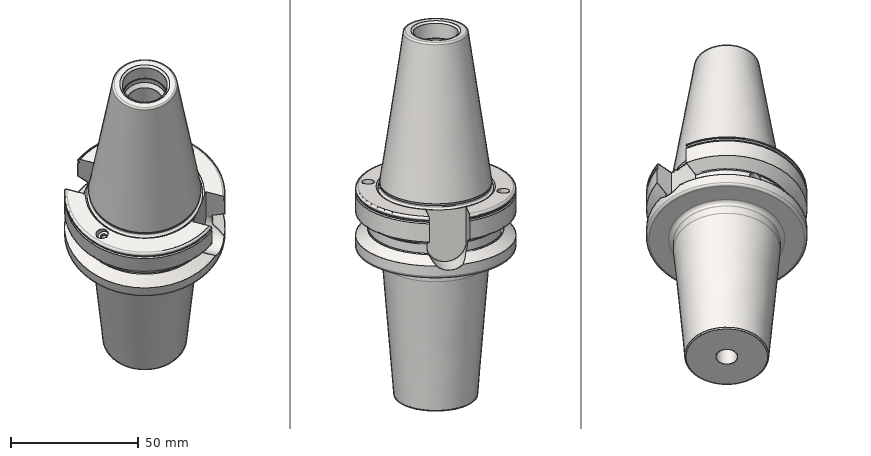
import math

import cadquery as cq

taper_length = 65.4
nose_length = 90.0

gauge_radius = 44.45 / 2
taper_slope = 7 / 48
taper_base_z = 0.9
taper_end_fillet = 0.8

neck_radius = 21.8
neck_top_z = 0.0
neck_fillet = 0.95
undercut_radius = 23.4
undercut_depth = 0.5

flange_radius = 63.0 / 2
flange_top_z = -1.0
flange_bottom_z = -27.0
flange_edge_fillet = 1.0
grip_groove_z = -16.55
grip_groove_radius = 26.5
grip_groove_floor_width = 4.4
grip_flank_angle = 30.0
grip_corner_fillet = 0.5
ring_groove_z = -3.0
ring_groove_width = 1.4
ring_groove_floor_width = 0.5
ring_groove_depth = 0.5

nose_radius = 21.0
nose_fillet = 1.8
nose_straight_end_z = -32.7
nose_cone_angle = 4.5
nose_end_bevel = 0.5

mouth_radius = 9.8
mouth_bevel_depth = 0.7
pilot_radius = 8.8
pilot_depth = 7.0
step_radius = 8.5
step_depth = 9.2
thread_core_radius = 7.0
thread_core_depth = 32.0
through_radius = 4.25

slot_width = 16.1
slot_floor_x = 22.6
slot_bottom_z = -23.6

coolant_angles = (70.0, 250.0)
drill_angle = 118.0
flat_angle = 180.0
hole_lead_in = 1.0
face_hole_radius = 2.3
face_hole_pitch_radius = 26.9
face_hole_tilt = 20.0
face_hole_depth = 3.0
face_pilot_radius = 1.3
face_pilot_depth = 4.5
groove_hole_radius = 2.35
groove_hole_depth = 7.5


def taper_radius(z):
    return gauge_radius - taper_slope * z


def revolve_about_z(profile):
    return profile.close().revolve(360, (0, 0, 0), (0, 1, 0))


def make_body():
    """Revolve the outer outline of the holder, drawn as (radius, z)."""
    half_angle = math.atan(taper_slope)
    end_tangent = taper_end_fillet * math.tan((math.pi / 2 - half_angle) / 2)
    end_fillet_bottom_z = taper_length - end_tangent * math.cos(half_angle)

    undercut_floor_z = flange_top_z - undercut_depth

    flank = math.radians(grip_flank_angle)
    flank_height = (flange_radius - grip_groove_radius) * math.tan(flank)
    floor_half = grip_groove_floor_width / 2
    corner_tangent = grip_corner_fillet * math.tan((math.pi / 2 - flank) / 2)
    corner_radius = grip_groove_radius + corner_tangent * math.cos(flank)
    corner_rise = floor_half + corner_tangent * math.sin(flank)
    corner_floor = floor_half - corner_tangent

    ring_half = ring_groove_width / 2
    ring_floor_half = ring_groove_floor_width / 2
    ring_floor_radius = flange_radius - ring_groove_depth

    cone_drop = nose_length + nose_straight_end_z
    nose_end_radius = nose_radius - cone_drop * math.tan(math.radians(nose_cone_angle))

    profile = (
        cq.Workplane("XZ")
        .moveTo(0, taper_length)
        .lineTo(taper_radius(taper_length) - end_tangent, taper_length)
        .tangentArcPoint((taper_radius(end_fillet_bottom_z), end_fillet_bottom_z), relative=False)
        .lineTo(taper_radius(taper_base_z), taper_base_z)
        .lineTo(neck_radius, neck_top_z)
        .lineTo(neck_radius, undercut_floor_z + neck_fillet)
        .tangentArcPoint((neck_fillet, -neck_fillet))
        .lineTo(undercut_radius, flange_top_z)
        .lineTo(flange_radius - flange_edge_fillet, flange_top_z)
        .tangentArcPoint((flange_edge_fillet, -flange_edge_fillet))
        .lineTo(flange_radius, ring_groove_z + ring_half)
        .lineTo(ring_floor_radius, ring_groove_z + ring_floor_half)
        .lineTo(ring_floor_radius, ring_groove_z - ring_floor_half)
        .lineTo(flange_radius, ring_groove_z - ring_half)
        .lineTo(flange_radius, grip_groove_z + floor_half + flank_height)
        .lineTo(corner_radius, grip_groove_z + corner_rise)
        .tangentArcPoint((grip_groove_radius, grip_groove_z + corner_floor), relative=False)
        .lineTo(grip_groove_radius, grip_groove_z - corner_floor)
        .tangentArcPoint((corner_radius, grip_groove_z - corner_rise), relative=False)
        .lineTo(flange_radius, grip_groove_z - floor_half - flank_height)
        .lineTo(flange_radius, flange_bottom_z + flange_edge_fillet)
        .tangentArcPoint((-flange_edge_fillet, -flange_edge_fillet))
        .lineTo(nose_radius + nose_fillet, flange_bottom_z)
        .tangentArcPoint((-nose_fillet, -nose_fillet))
        .lineTo(nose_radius, nose_straight_end_z)
        .lineTo(nose_end_radius, -nose_length + nose_end_bevel)
        .lineTo(nose_end_radius - nose_end_bevel, -nose_length)
        .lineTo(0, -nose_length)
    )
    return revolve_about_z(profile)


def make_axial_bore():
    """Bevelled mouth, stepped pilot, thread core and a through hole."""
    pilot_floor_z = taper_length - pilot_depth
    step_floor_z = taper_length - step_depth
    core_top_z = step_floor_z - (step_radius - thread_core_radius)
    core_floor_z = taper_length - thread_core_depth
    profile = (
        cq.Workplane("XZ")
        .moveTo(0, taper_length)
        .lineTo(mouth_radius, taper_length)
        .lineTo(pilot_radius, taper_length - mouth_bevel_depth)
        .lineTo(pilot_radius, pilot_floor_z)
        .lineTo(step_radius, pilot_floor_z)
        .lineTo(step_radius, step_floor_z)
        .lineTo(thread_core_radius, core_top_z)
        .lineTo(thread_core_radius, core_floor_z)
        .lineTo(through_radius, core_floor_z)
        .lineTo(through_radius, -nose_length)
        .lineTo(0, -nose_length)
    )
    return revolve_about_z(profile)


def make_drive_slot(side):
    """Round-bottomed slot open to the top and to the +X (side 1) or -X (side -1)."""
    half_width = slot_width / 2
    round_z = slot_bottom_z + half_width
    slot_depth = flange_radius - slot_floor_x
    return (
        cq.Workplane("YZ", origin=(side * slot_floor_x, 0, 0))
        .moveTo(-half_width, taper_base_z)
        .lineTo(-half_width, round_z)
        .threePointArc((0, slot_bottom_z), (half_width, round_z))
        .lineTo(half_width, taper_base_z)
        .close()
        .extrude(side * slot_depth)
    )


def make_hole(start, axis, radius, depth, point_angle):
    """Round hole along axis, with a conical point (180 degrees gives a flat floor)."""
    tip = radius / math.tan(math.radians(point_angle / 2))
    profile = (
        cq.Workplane("XZ")
        .moveTo(0, -hole_lead_in)
        .lineTo(radius, -hole_lead_in)
        .lineTo(radius, depth)
        .lineTo(0, depth + tip)
    )
    drilling_plane = cq.Plane(origin=start, normal=axis)
    return cq.Workplane(revolve_about_z(profile).val().moved(cq.Location(drilling_plane)))


def make_coolant_holes(angle):
    """Leaning stepped hole in the flange face and radial hole in the gripper groove."""
    out_x = math.cos(math.radians(angle))
    out_y = math.sin(math.radians(angle))

    lean = math.sin(math.radians(face_hole_tilt))
    drop = math.cos(math.radians(face_hole_tilt))
    face_start = (face_hole_pitch_radius * out_x, face_hole_pitch_radius * out_y, flange_top_z)
    face_axis = (-lean * out_x, -lean * out_y, -drop)
    face_hole = make_hole(face_start, face_axis, face_hole_radius, face_hole_depth, flat_angle)
    face_pilot = make_hole(face_start, face_axis, face_pilot_radius, face_pilot_depth, drill_angle)

    groove_start = (grip_groove_radius * out_x, grip_groove_radius * out_y, grip_groove_z)
    inward = (-out_x, -out_y, 0)
    groove_hole = make_hole(groove_start, inward, groove_hole_radius, groove_hole_depth, drill_angle)
    return face_hole.union(face_pilot).union(groove_hole)


result = make_body().cut(make_axial_bore())
for side in (1, -1):
    result = result.cut(make_drive_slot(side))
for angle in coolant_angles:
    result = result.cut(make_coolant_holes(angle))